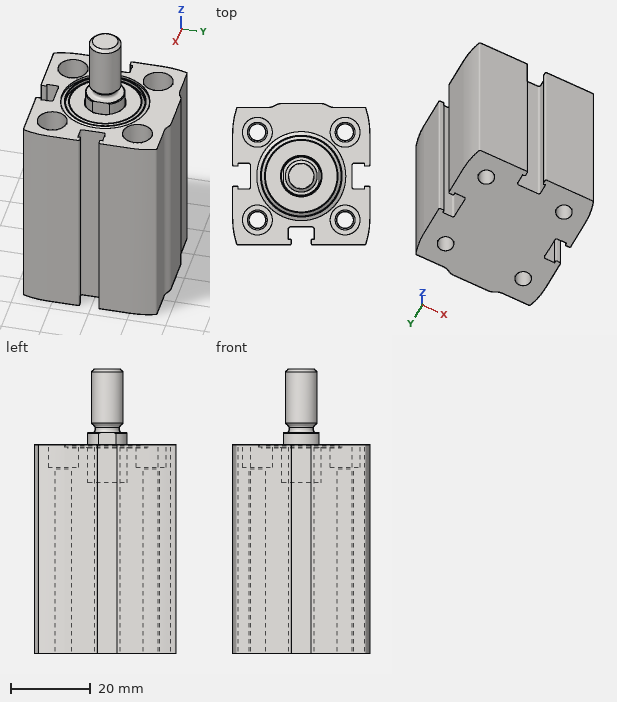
import cadquery as cq
import math

arc_middle_inset = 1 - math.sqrt(0.5)

width = 34.5
half_width = width / 2
housing_height = 52.5
crown_rise = 1.0
crown_flat_half = 4.85
crown_foot_half = 8.3
flank_radius = 20.0
flank_start = 10.7
corner_radius = 0.4

slot_mouth = 5.0
slot_width = 6.4
slot_depth = 4.5
slot_lip = 1.4
slot_floor_radius = 0.5
slot_lip_radius = 0.35
slot_lip_inner_radius = 0.3

mount_offset = 11.0
mount_diameter = 4.15
mount_bore_diameter = 7.5
mount_bore_depth = 5.7
mount_sink_diameter = 5.0

outer_groove_diameter = 22.4
outer_ring_diameter = 20.5
inner_groove_diameter = 20.0
inner_ring_diameter = 18.45
cover_diameter = 18.0
outer_groove_depth = 0.6
ring_drop = 0.1
cover_drop = 0.2

total_height = 71.5
rod_diameter = 10.0
rod_bottom = 42.9
rod_gap_diameter = 10.45
rod_gap_depth = 0.7
flats_width = 9.0
flats_bottom = housing_height - rod_gap_depth
collar_top = 55.5
collar_chamfer = 0.2
thread_diameter = 8.0
thread_tip_diameter = 6.4
thread_bottom = 57.85
neck_diameter = 6.15
neck_top = 56.8
neck_fillet = 0.65


def polar(center, radius, angle):
    """Point on a circle, with the angle measured from +X."""
    return (center[0] + radius * math.cos(angle), center[1] + radius * math.sin(angle))


def profile_block():
    """Extruded housing profile: rounded flanks and a crown on the +Y side."""
    flank_angle = math.asin((half_width - flank_start) / flank_radius)
    upper_center = (half_width - flank_radius, flank_start)
    lower_center = (half_width - flank_radius, -flank_start)

    run = crown_foot_half - crown_flat_half
    crown_radius = (run**2 + crown_rise**2) / (4 * crown_rise)
    crown_angle = math.asin(run / 2 / crown_radius)
    crown_top = half_width + crown_rise
    foot_center = (crown_foot_half, half_width + crown_radius)
    top_center = (crown_flat_half, crown_top - crown_radius)
    down = -math.pi / 2
    up = math.pi / 2

    half = (
        cq.Workplane("XY")
        .moveTo(0, -half_width)
        .lineTo(*polar(lower_center, flank_radius, -flank_angle))
        .threePointArc(
            polar(lower_center, flank_radius, -flank_angle / 2),
            (half_width, -flank_start),
        )
        .lineTo(half_width, flank_start)
        .threePointArc(
            polar(upper_center, flank_radius, flank_angle / 2),
            polar(upper_center, flank_radius, flank_angle),
        )
        .lineTo(crown_foot_half, half_width)
        .threePointArc(
            polar(foot_center, crown_radius, down - crown_angle / 2),
            polar(foot_center, crown_radius, down - crown_angle),
        )
        .threePointArc(
            polar(top_center, crown_radius, up - crown_angle / 2),
            (crown_flat_half, crown_top),
        )
        .lineTo(0, crown_top)
        .close()
        .extrude(housing_height)
    )
    corner_x = upper_center[0] + flank_radius * math.cos(flank_angle)
    for corner_y in (-half_width, half_width):
        corner = cq.selectors.NearestToPointSelector((corner_x, corner_y, housing_height / 2))
        half = half.edges("|Z").edges(corner).fillet(corner_radius)
    return half.union(half.mirror("YZ"))


def sensor_slot(angle):
    """T-slot along the full height, open to -Y before it is turned about Z by angle."""
    lip_top = -half_width + slot_lip
    floor_y = -half_width + slot_depth
    chamber = (
        cq.Workplane("XY")
        .rect(slot_width, slot_depth - slot_lip)
        .extrude(housing_height)
        .edges("|Z and >Y")
        .fillet(slot_floor_radius)
        .translate((0, (lip_top + floor_y) / 2, 0))
    )
    rounding_y = -half_width + slot_lip_radius
    half_mouth = slot_mouth / 2
    half_flare = half_mouth + slot_lip_radius
    arc_inset = slot_lip_radius * arc_middle_inset
    mouth = (
        cq.Workplane("XY")
        .moveTo(-half_flare, -half_width)
        .lineTo(half_flare, -half_width)
        .threePointArc(
            (half_mouth + arc_inset, -half_width + arc_inset),
            (half_mouth, rounding_y),
        )
        .lineTo(half_mouth, lip_top)
        .lineTo(-half_mouth, lip_top)
        .lineTo(-half_mouth, rounding_y)
        .threePointArc(
            (-half_mouth - arc_inset, -half_width + arc_inset),
            (-half_flare, -half_width),
        )
        .close()
        .extrude(housing_height)
    )
    slot = chamber.union(mouth)
    for lip_x in (-half_mouth, half_mouth):
        lip = cq.selectors.NearestToPointSelector((lip_x, lip_top, housing_height / 2))
        slot = slot.edges("|Z").edges(lip).fillet(slot_lip_inner_radius)
    return slot.rotate((0, 0, 0), (0, 0, 1), angle)


def mounting_holes():
    """Four through holes, each counterbored from the top with a countersunk seat."""
    seat_z = housing_height - mount_bore_depth
    sink_depth = (mount_sink_diameter - mount_diameter) / 2
    hole = (
        cq.Workplane("XZ")
        .lineTo(mount_diameter / 2, 0)
        .lineTo(mount_diameter / 2, seat_z - sink_depth)
        .lineTo(mount_sink_diameter / 2, seat_z)
        .lineTo(mount_bore_diameter / 2, seat_z)
        .lineTo(mount_bore_diameter / 2, housing_height)
        .lineTo(0, housing_height)
        .close()
        .revolve(360, (0, 0, 0), (0, 1, 0))
    )
    centers = cq.Workplane("XY").rect(2 * mount_offset, 2 * mount_offset, forConstruction=True)
    return centers.vertices().eachpoint(lambda place: hole.val().moved(place), combine=False)


def cover_recess():
    """Shallow recess around the rod, with two ring-shaped grooves that deepen outward."""
    outer_groove = outer_groove_diameter / 2
    outer_ring = outer_ring_diameter / 2
    inner_groove = inner_groove_diameter / 2
    inner_ring = inner_ring_diameter / 2
    cover = cover_diameter / 2
    ring_z = housing_height - ring_drop
    cover_z = housing_height - cover_drop
    inner_groove_depth = inner_groove - inner_ring
    return (
        cq.Workplane("XZ")
        .moveTo(0, housing_height)
        .lineTo(outer_groove, housing_height)
        .lineTo(outer_groove, ring_z - outer_groove_depth)
        .lineTo(outer_ring, ring_z)
        .lineTo(inner_groove, ring_z)
        .lineTo(inner_groove, ring_z - inner_groove_depth)
        .lineTo(inner_ring, ring_z)
        .lineTo(cover, ring_z)
        .lineTo(cover, cover_z)
        .lineTo(0, cover_z)
        .close()
        .revolve(360, (0, 0, 0), (0, 1, 0))
    )


def rod_bore():
    """Blind bore that holds the rod, with a narrow gap around it at the top."""
    bore = (
        cq.Workplane("XY", origin=(0, 0, rod_bottom))
        .circle(rod_diameter / 2)
        .extrude(housing_height - rod_bottom)
    )
    gap = (
        cq.Workplane("XY", origin=(0, 0, flats_bottom))
        .circle(rod_gap_diameter / 2)
        .extrude(rod_gap_depth)
    )
    return bore.union(gap)


def make_housing():
    body = profile_block()
    for angle in (-90, 0, 90):
        body = body.cut(sensor_slot(angle))
    return body.cut(mounting_holes()).cut(cover_recess()).cut(rod_bore())


def make_rod():
    """Piston rod with wrench flats, an undercut neck and a plain thread cylinder."""
    rod = rod_diameter / 2
    thread = thread_diameter / 2
    tip = thread_tip_diameter / 2
    neck = neck_diameter / 2
    chamfer_height = thread - tip
    fillet_inset = neck_fillet * arc_middle_inset
    turned = (
        cq.Workplane("XZ")
        .moveTo(0, rod_bottom)
        .lineTo(rod, rod_bottom)
        .lineTo(rod, collar_top - collar_chamfer)
        .lineTo(rod - collar_chamfer, collar_top)
        .lineTo(neck + neck_fillet, collar_top)
        .threePointArc(
            (neck + fillet_inset, collar_top + fillet_inset),
            (neck, collar_top + neck_fillet),
        )
        .lineTo(neck, neck_top)
        .lineTo(tip, thread_bottom - chamfer_height)
        .lineTo(thread, thread_bottom)
        .lineTo(thread, total_height - chamfer_height)
        .lineTo(tip, total_height)
        .lineTo(0, total_height)
        .close()
        .revolve(360, (0, 0, 0), (0, 1, 0))
    )
    flats_height = collar_top - flats_bottom
    flats_section = cq.Workplane("XY", origin=(0, 0, flats_bottom))
    waste = flats_section.rect(rod_gap_diameter, rod_gap_diameter).extrude(flats_height)
    kept = flats_section.rect(flats_width, rod_gap_diameter).extrude(flats_height)
    return turned.cut(waste.cut(kept))


housing = make_housing()
rod = make_rod()

result = cq.Compound.makeCompound([housing.val(), rod.val()])